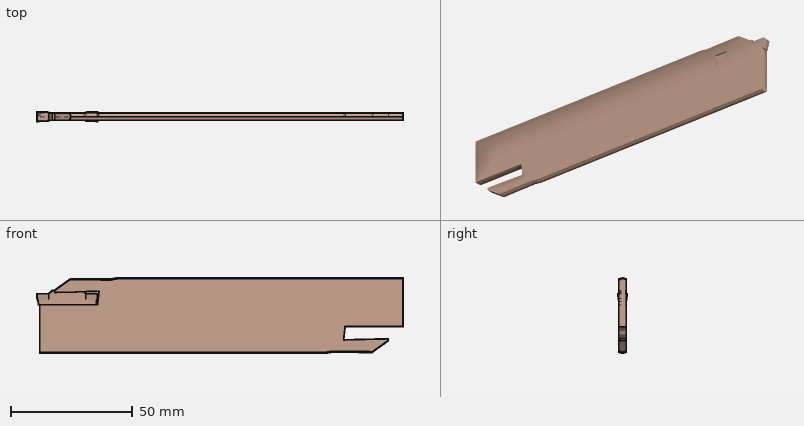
import cadquery as cq

LENGTH = 151.0
HEIGHT = 31.1
BLADE_THICKNESS = 3.2
BLADE_START = 1.0
RIDGE_DROP = 0.5
RELIEF_START_Z = 31.0
RELIEF_END_Z = 30.7
RELIEF_END_X = 30.2
RAMP_END_X = 32.9

SEAT_Z = 20.1
POCKET_BACK_LOW_X = 24.9
POCKET_BACK_HIGH_X = 25.5
JAW_BACK_Z = 25.5
JAW_NOSE_X = 7.2
JAW_NOSE_LOW_Z = 25.0
JAW_NOSE_HIGH_Z = 26.0
JAW_SLOPE_END_X = 14.2
JAW_SLOPE_END_Z = 31.0

INSERT_LENGTH = 25.0
INSERT_TOP_Z = 26.0
CUTTING_EDGE_Z = 24.6
CUTTING_WIDTH = 4.1
HEAD_BACK_WIDTH = 3.8
HEAD_LENGTH = 4.8
HEAD_RAMP_END_X = 6.3
LAND_BOTTOM_Z = 22.8
FRONT_RELIEF = 0.5
HEAD_BOTTOM_Z = 21.5
SIDE_TAPER = 0.9


def extrude_outline(points, thickness):
    """Extrude an XZ outline symmetrically about Y = 0."""
    return cq.Workplane("XZ").polyline(points).close().extrude(thickness / 2, both=True)


def half_turn(points):
    """Turn XZ points by 180 degrees about the blade centre."""
    return [(BLADE_START + LENGTH - x, HEIGHT - z) for x, z in points]


def ridged_section(x, bottom, top):
    """Six-sided YZ blade section between a bottom ridge and a top ridge."""
    side = BLADE_THICKNESS / 2
    corners = [
        (side, bottom + RIDGE_DROP),
        (side, top - RIDGE_DROP),
        (0, top),
        (-side, top - RIDGE_DROP),
        (-side, bottom + RIDGE_DROP),
        (0, bottom),
    ]
    return cq.Wire.makePolygon([cq.Vector(x, y, z) for y, z in corners], close=True)


def make_ridged_bar():
    top_steps = [
        (BLADE_START, RELIEF_START_Z),
        (RELIEF_END_X, RELIEF_END_Z),
        (RAMP_END_X, HEIGHT),
    ]
    sections = [ridged_section(x, 0, top) for x, top in top_steps]
    sections += [ridged_section(x, bottom, HEIGHT) for x, bottom in reversed(half_turn(top_steps))]
    return cq.Workplane(cq.Solid.makeLoft(sections, True))


def make_blade():
    end_outline = [
        (BLADE_START, SEAT_Z),
        (POCKET_BACK_LOW_X, SEAT_Z),
        (POCKET_BACK_HIGH_X, JAW_BACK_Z),
        (JAW_NOSE_X, JAW_NOSE_LOW_Z),
        (JAW_NOSE_X, JAW_NOSE_HIGH_Z),
        (JAW_SLOPE_END_X, JAW_SLOPE_END_Z),
        (JAW_SLOPE_END_X, HEIGHT),
        (LENGTH, HEIGHT),
    ]
    outline = extrude_outline(end_outline + half_turn(end_outline), BLADE_THICKNESS)
    return make_ridged_bar().intersect(outline)


def make_head():
    """Cutting head, tapering downwards and towards the insert middle."""
    def section(z, taper):
        front = (CUTTING_WIDTH - taper) / 2
        back = (HEAD_BACK_WIDTH - taper) / 2
        corners = [(0, -front), (HEAD_LENGTH, -back), (HEAD_LENGTH, back), (0, front)]
        return cq.Wire.makePolygon([cq.Vector(x, y, z) for x, y in corners], close=True)

    sections = [section(HEAD_BOTTOM_Z, SIDE_TAPER), section(CUTTING_EDGE_Z, 0)]
    return cq.Workplane(cq.Solid.makeLoft(sections, True))


def make_insert(blade):
    front_outline = [
        (FRONT_RELIEF, SEAT_Z),
        (FRONT_RELIEF, HEAD_BOTTOM_Z),
        (0, LAND_BOTTOM_Z),
        (0, CUTTING_EDGE_Z),
        (HEAD_LENGTH, CUTTING_EDGE_Z),
        (HEAD_RAMP_END_X, INSERT_TOP_Z),
    ]
    back_outline = [(INSERT_LENGTH - x, z) for x, z in reversed(front_outline)]
    outline = front_outline + back_outline
    head = make_head()
    back_head = head.mirror("YZ").translate((INSERT_LENGTH, 0, 0))
    body = extrude_outline(outline, BLADE_THICKNESS).union(head).union(back_head)
    shaped = body.intersect(extrude_outline(outline, CUTTING_WIDTH))
    return shaped.cut(blade)


blade = make_blade()
insert = make_insert(blade)
result = cq.Compound.makeCompound([blade.solids().val(), insert.solids().val()])